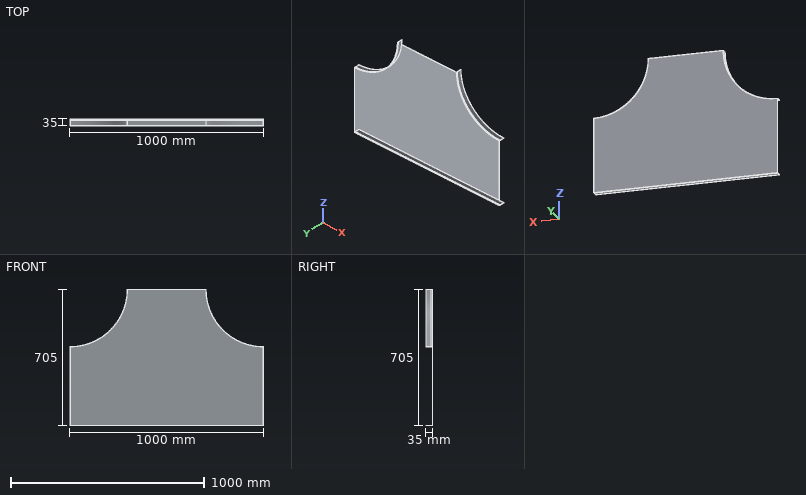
import cadquery as cq

length = 1000.0
height = 705.0
depth = 35.0

sheet = 0.8
lip_depth = 7.0
corner_radius = 296.0

half_length = length / 2
flange_depth = depth - lip_depth
wall_radius = corner_radius + sheet


def tee_block(bottom, cut_radius, back, thickness):
    """Tee-shaped block from the level `bottom` up, with both upper corners cut away in an arc."""
    neck = half_length - cut_radius
    shoulder = height - cut_radius
    middle = cut_radius * 0.5 ** 0.5
    return (
        cq.Workplane("XZ", origin=(0, -back, 0))
        .moveTo(-half_length, bottom)
        .lineTo(half_length, bottom)
        .lineTo(half_length, shoulder)
        .threePointArc((half_length - middle, height - middle), (neck, height))
        .lineTo(-neck, height)
        .threePointArc((middle - half_length, height - middle), (-half_length, shoulder))
        .close()
        .extrude(thickness)
    )


def make_panel():
    """Tee-shaped sheet with a short lip folded forwards on its lower edge and both arcs."""
    blank = tee_block(0, corner_radius, 0, lip_depth)
    hollow = tee_block(sheet, wall_radius, sheet, lip_depth - sheet)
    return blank.cut(hollow)


def make_bottom_flange():
    """Straight flange continuing the lower lip."""
    return (
        cq.Workplane("XY")
        .box(length, flange_depth, sheet, centered=(True, False, False))
        .translate((0, -depth, 0))
    )


def make_corner_flange(side):
    """Quarter-round flange continuing the left (-1) or right (+1) arc lip."""
    corner_x = side * half_length
    outer_middle = corner_radius * 0.5 ** 0.5
    inner_middle = wall_radius * 0.5 ** 0.5
    return (
        cq.Workplane("XZ", origin=(0, -lip_depth, 0))
        .moveTo(corner_x, height - corner_radius)
        .threePointArc(
            (corner_x - side * outer_middle, height - outer_middle),
            (corner_x - side * corner_radius, height),
        )
        .lineTo(corner_x - side * wall_radius, height)
        .threePointArc(
            (corner_x - side * inner_middle, height - inner_middle),
            (corner_x, height - wall_radius),
        )
        .close()
        .extrude(flange_depth)
    )


panel = make_panel()
bottom_flange = make_bottom_flange()
corner_flanges = [make_corner_flange(side) for side in (-1, 1)]

result = cq.Compound.makeCompound(
    [*panel.solids().vals(), bottom_flange.val(), *[flange.val() for flange in corner_flanges]]
)